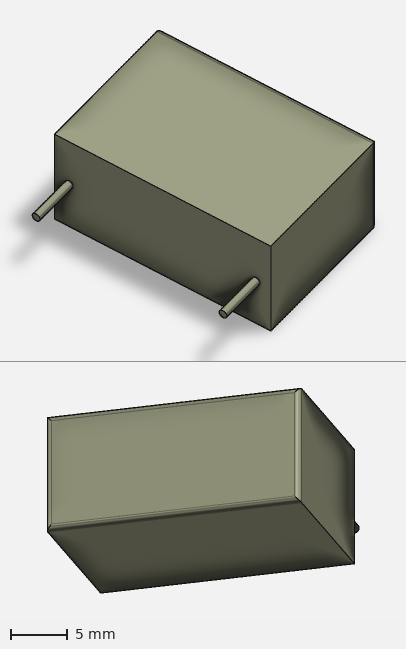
import cadquery as cq

width = 23.5
depth = 16.0
height = 10.8
back_edge_radius = 0.5

lead_diameter = 0.85
lead_spacing = 20.3
lead_length = 5.0


def make_housing():
    """Box with its front face at Y = 0 and rounded edges around the back face."""
    box = cq.Workplane("XY").box(width, depth, height, centered=(True, False, True))
    return box.faces(">Y").edges().fillet(back_edge_radius)


def make_lead(x):
    """Round wire running from the front face of the housing toward -Y."""
    return cq.Workplane("XZ").center(x, 0).circle(lead_diameter / 2).extrude(lead_length)


housing = make_housing()
leads = [make_lead(side * lead_spacing / 2) for side in (-1, 1)]

result = cq.Compound.makeCompound([housing.val(), *[lead.val() for lead in leads]])